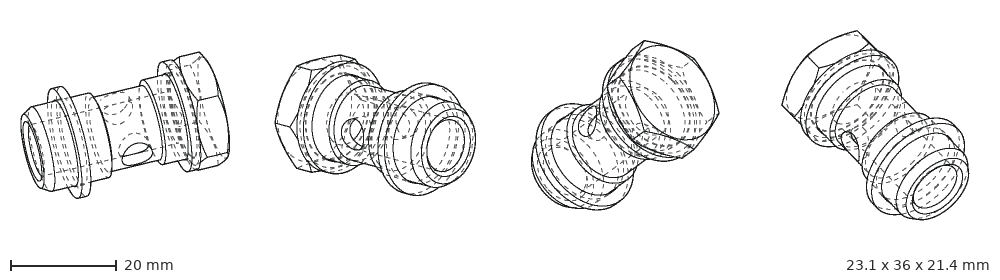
import cadquery as cq
import math

length = 36.0
head_height = 6.0
head_across_flats = 20.0
head_chamfer_diameter = 19.65
head_chamfer_angle = 30.0

shank_diameter = 16.5
tip_diameter = 14.4
tip_chamfer_length = 1.8
neck_diameter = 14.5
neck_start = 13.5
neck_end = 23.47
neck_taper_length = 0.35

bore_diameter = 10.0
bore_mouth_diameter = 11.6
bore_depth = 27.72
bore_tip_angle = 138.0
cross_hole_diameter = 6.0

washer_outer_diameter = 21.4
washer_inner_diameter = 16.8
washer_thickness = 1.75
tip_washer_start = 6.4

head_start = length - head_height
cross_hole_y = (neck_start + neck_end) / 2
washer_starts = [tip_washer_start, head_start - washer_thickness]


def revolve_about_y(profile_points):
    """Turn a closed (radius, Y) outline around the Y axis."""
    outline = cq.Workplane("XY").polyline(profile_points).close()
    return outline.revolve(360, (0, 0, 0), (0, 1, 0))


def make_head():
    """Hexagon with corners on +X and -X, bevelled conically at both ends."""
    corner_diameter = head_across_flats / math.cos(math.radians(30))
    prism = (
        cq.Workplane("XZ", origin=(0, length, 0))
        .polygon(6, corner_diameter)
        .extrude(head_height)
    )
    corner_radius = corner_diameter / 2
    chamfer_radius = head_chamfer_diameter / 2
    chamfer_length = (corner_radius - chamfer_radius) * math.tan(math.radians(head_chamfer_angle))
    envelope = revolve_about_y([
        (0, head_start),
        (chamfer_radius, head_start),
        (corner_radius, head_start + chamfer_length),
        (corner_radius, length - chamfer_length),
        (chamfer_radius, length),
        (0, length),
    ])
    return prism.intersect(envelope)


def make_shank():
    """Stepped shank with a tapered tip and a narrower neck."""
    shank_radius = shank_diameter / 2
    neck_radius = neck_diameter / 2
    return revolve_about_y([
        (0, 0),
        (tip_diameter / 2, 0),
        (shank_radius, tip_chamfer_length),
        (shank_radius, neck_start - neck_taper_length),
        (neck_radius, neck_start),
        (neck_radius, neck_end),
        (shank_radius, neck_end + neck_taper_length),
        (shank_radius, head_start),
        (0, head_start),
    ])


def make_bore():
    """Blind drilled bore with a 45 degree mouth and a conical bottom."""
    bore_radius = bore_diameter / 2
    mouth_radius = bore_mouth_diameter / 2
    mouth_depth = mouth_radius - bore_radius
    cone_height = bore_radius / math.tan(math.radians(bore_tip_angle / 2))
    return revolve_about_y([
        (0, 0),
        (mouth_radius, 0),
        (bore_radius, mouth_depth),
        (bore_radius, bore_depth),
        (0, bore_depth + cone_height),
    ])


def make_cross_hole():
    """Hole along X through both walls of the neck."""
    return (
        cq.Workplane("YZ")
        .center(cross_hole_y, 0)
        .circle(cross_hole_diameter / 2)
        .extrude(shank_diameter / 2, both=True)
    )


def make_bolt():
    return make_shank().union(make_head()).cut(make_bore()).cut(make_cross_hole())


def make_washer(start_y):
    """Flat sealing ring that reaches from start_y towards the head."""
    return (
        cq.Workplane("XZ", origin=(0, start_y, 0))
        .circle(washer_outer_diameter / 2)
        .circle(washer_inner_diameter / 2)
        .extrude(-washer_thickness)
    )


bolt = make_bolt()
washers = [make_washer(start_y) for start_y in washer_starts]

result = cq.Compound.makeCompound([bolt.val(), *[washer.val() for washer in washers]])